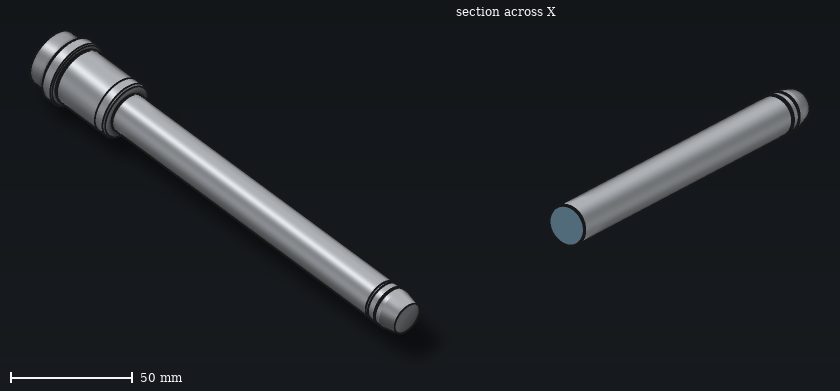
import cadquery as cq

total_length = 210.0
shaft_diameter = 18.0
head_diameter = 26.0
flange_diameter = 30.0

spigot_chamfer = 0.5
flange_start = 9.0
flange_end = 15.0
flange_chamfer = 0.6
relief_width = 1.0
relief_depth = 0.5
lead_in_start = 38.6
lead_in_reduction = 0.05
head_end = 43.9
head_chamfer = 0.8

undercut_width = 0.6
undercut_depth = 0.5
groove_depth = 0.2
wide_groove_start = 194.7
wide_groove_width = 1.3
narrow_groove_start = 199.5
narrow_groove_width = 0.6
tip_start = 202.6
tip_diameter = 14.3
tip_bulge = 0.17

shaft_radius = shaft_diameter / 2
tip_radius = tip_diameter / 2


def cylinder(start, end, diameter):
    """Solid cylinder along X between two stations."""
    return cq.Workplane("YZ", origin=(start, 0, 0)).circle(diameter / 2).extrude(end - start)


def groove_cutter(start, width, surface_diameter, depth):
    """Ring that cuts a square groove of the given depth into a round surface."""
    blank = cylinder(start, start + width, surface_diameter + 2 * depth)
    return blank.cut(cylinder(start, start + width, surface_diameter - 2 * depth))


def make_head():
    """Spigot, flange and fitted body."""
    body = cylinder(0, lead_in_start, head_diameter).faces("<X").chamfer(spigot_chamfer)
    lead_in = cylinder(lead_in_start, head_end, head_diameter - 2 * lead_in_reduction)
    body = body.union(lead_in.faces(">X").chamfer(head_chamfer))
    for start in (flange_start - relief_width, flange_end):
        body = body.cut(groove_cutter(start, relief_width, head_diameter, relief_depth))
    flange = cylinder(flange_start, flange_end, flange_diameter)
    return body.union(flange.edges().chamfer(flange_chamfer))


def make_shaft():
    """Shaft from inside the head to the tip, which narrows along a shallow arc."""
    tip_middle = ((tip_start + total_length) / 2, (shaft_radius + tip_radius) / 2 + tip_bulge)
    shaft = (
        cq.Workplane("XY")
        .moveTo(lead_in_start, 0)
        .lineTo(lead_in_start, shaft_radius)
        .lineTo(tip_start, shaft_radius)
        .threePointArc(tip_middle, (total_length, tip_radius))
        .lineTo(total_length, 0)
        .close()
        .revolve(360, (0, 0, 0), (1, 0, 0))
    )
    grooves = (
        (head_end, undercut_width, undercut_depth),
        (wide_groove_start, wide_groove_width, groove_depth),
        (narrow_groove_start, narrow_groove_width, groove_depth),
    )
    for start, width, depth in grooves:
        shaft = shaft.cut(groove_cutter(start, width, shaft_diameter, depth))
    return shaft


result = make_head().union(make_shaft())